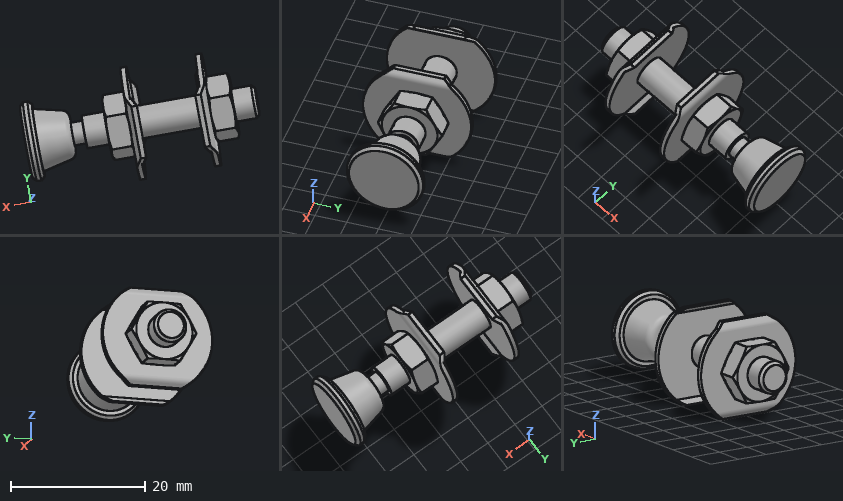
import cadquery as cq
import math

total_length = 35.0

stud_diameter = 5.0
stud_end = 26.18
stud_chamfer = 0.5
neck_diameter = 3.5

nut_across_flats = 8.75
nut_height = 3.5
nut_chamfer_angle = 20.0
first_nut_start = 3.5

washer_diameter = 17.0
washer_height = 15.0
washer_thickness = 0.85
bend_radius = 1.2
first_washer_back = first_nut_start + nut_height
second_washer_back = 19.2

tip_start = 27.95
tip_nose_radius = 3.55
tip_nose_fillet = 1.2
cone_end_radius = 4.75
rim_diameter = 12.0
rim_thickness = 1.82
rim_chamfer_length = 0.55
rim_chamfer_depth = 0.52


def make_stud():
    stud = cq.Workplane("YZ").circle(stud_diameter / 2).extrude(stud_end)
    stud = stud.faces("<X").chamfer(stud_chamfer)
    neck = (
        cq.Workplane("YZ", origin=(stud_end, 0, 0))
        .circle(neck_diameter / 2)
        .extrude(tip_start - stud_end)
    )
    return stud.union(neck)


def make_nut(start):
    """Hexagon nut with corners on Y and conical chamfers on both faces."""
    flat_radius = nut_across_flats / 2
    corner_radius = flat_radius / math.cos(math.radians(30))
    chamfer_length = (corner_radius - flat_radius) * math.tan(math.radians(nut_chamfer_angle))
    hexagon = cq.Workplane("YZ").polygon(6, 2 * corner_radius).extrude(nut_height)
    chamfered_blank = (
        cq.Workplane("XY")
        .moveTo(0, 0)
        .lineTo(0, flat_radius)
        .lineTo(chamfer_length, corner_radius)
        .lineTo(nut_height - chamfer_length, corner_radius)
        .lineTo(nut_height, flat_radius)
        .lineTo(nut_height, 0)
        .close()
        .revolve(360, (0, 0, 0), (1, 0, 0))
    )
    return hexagon.intersect(chamfered_blank).translate((start, 0, 0))


def make_washer():
    """Washer with its back at x = 0 and its two lips bent toward +X."""
    top = washer_height / 2
    bend_angle = math.radians(45)
    arc_depth = bend_radius * (1 - math.cos(bend_angle))
    arc_rise = bend_radius * math.sin(bend_angle)
    arc_end_z = top - (washer_thickness - arc_depth)
    arc_start_z = arc_end_z - arc_rise
    arc_mid = (
        bend_radius * (1 - math.cos(bend_angle / 2)),
        arc_start_z + bend_radius * math.sin(bend_angle / 2),
    )
    half_section = (
        cq.Workplane("XZ")
        .moveTo(0, 0)
        .lineTo(0, arc_start_z)
        .threePointArc(arc_mid, (arc_depth, arc_end_z))
        .lineTo(washer_thickness, top)
        .lineTo(2 * washer_thickness, top)
        .lineTo(washer_thickness, top - washer_thickness)
        .lineTo(washer_thickness, 0)
        .close()
        .extrude(washer_diameter / 2, both=True)
    )
    strip = half_section.union(half_section.mirror("XY"))
    disc = cq.Workplane("YZ").circle(washer_diameter / 2).extrude(2 * washer_thickness)
    return strip.intersect(disc)


def make_tip():
    rim_start = total_length - rim_thickness
    rim_radius = rim_diameter / 2
    rim_edge_radius = rim_radius - rim_chamfer_depth
    cone = (
        cq.Workplane("XY")
        .moveTo(tip_start, 0)
        .lineTo(tip_start, tip_nose_radius)
        .lineTo(rim_start, cone_end_radius)
        .lineTo(rim_start, 0)
        .close()
        .revolve(360, (0, 0, 0), (1, 0, 0))
        .faces("<X")
        .edges()
        .fillet(tip_nose_fillet)
    )
    rim = (
        cq.Workplane("XY")
        .moveTo(rim_start, 0)
        .lineTo(rim_start, rim_edge_radius)
        .lineTo(rim_start + rim_chamfer_length, rim_radius)
        .lineTo(total_length - rim_chamfer_length, rim_radius)
        .lineTo(total_length, rim_edge_radius)
        .lineTo(total_length, 0)
        .close()
        .revolve(360, (0, 0, 0), (1, 0, 0))
    )
    return cone.union(rim)


first_washer = make_washer().translate((first_washer_back, 0, 0))
second_washer = make_washer().mirror("YZ").translate((second_washer_back, 0, 0))

result = (
    make_stud()
    .union(make_nut(first_nut_start))
    .union(first_washer)
    .union(second_washer)
    .union(make_nut(second_washer_back))
    .union(make_tip())
)